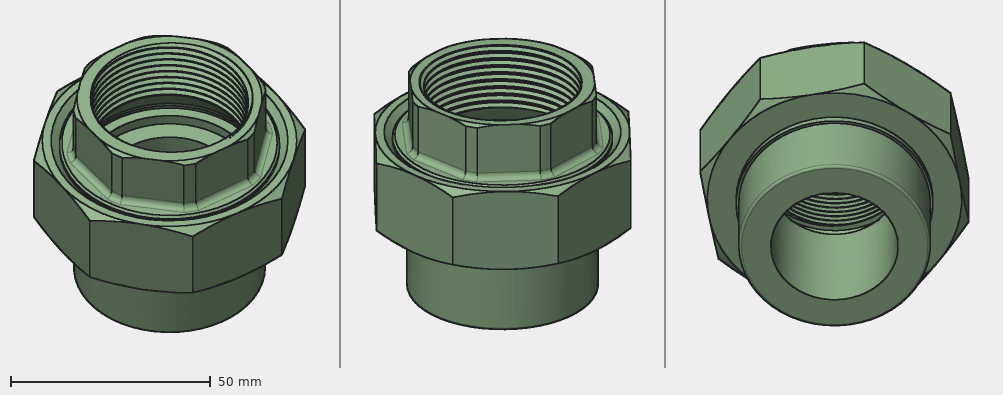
import cadquery as cq
import math


TOTAL_HEIGHT = 57.8
SIDES = 8
CHAMFER_SLOPE = math.tan(math.radians(30))

NUT_CORNER_DIAMETER = 69.0
NUT_BOTTOM = 21.45
NUT_TOP = 43.55
NUT_CAP_DIAMETER = NUT_CORNER_DIAMETER * math.cos(math.pi / SIDES)
NUT_MOUTH_DIAMETER = 59.35
NUT_LIP_TOP = 24.9

TAIL_DIAMETER = 48.0
TAIL_BORE = 31.9
TAIL_EDGE_RADIUS = 0.7
COLLAR_DIAMETER = 49.35
COLLAR_BOTTOM = 19.65
RIM_DIAMETER = 53.95
RIM_TOP = 33.7

GASKET_BOTTOM = 30.15
GASKET_TOP = 32.9
GASKET_HOLE = 41.8
GASKET_DIAMETER = 47.5

FLANGE_DIAMETER = 55.2
FLANGE_FACE_DIAMETER = 53.95
FLANGE_TOP = 42.8
NECK_FILLET = 1.65
NECK_FLAT_RADIUS = 23.05
NECK_CORNER_RADIUS = 24.35
NECK_CAP_RADIUS = 23.2
NECK_TURN = 2.5
SEAT_TOP = 34.5
FLARE_RADIUS = 21.25

THREAD_MAJOR_RADIUS = 20.9
THREAD_MINOR_RADIUS = 19.7
THREAD_PITCH = 2.0
THREAD_CREST = 0.35
THREAD_BOTTOM = 40.1
THREAD_FLANK_SLOPE = math.tan(math.radians(30))
THREAD_TURNS = 10.2
CUTTER_OVERLAP = 0.15


def disc(diameter, bottom, top):
    return cq.Workplane("XY").workplane(offset=bottom).circle(diameter / 2).extrude(top - bottom)


def octagon(corner_diameter, bottom, top):
    """Octagonal prism with corners on the X and Y axes."""
    return cq.Workplane("XY").workplane(offset=bottom).polygon(SIDES, corner_diameter).extrude(top - bottom)


def turned(points):
    """Solid of revolution about Z from (radius, height) points."""
    return cq.Workplane("XZ").polyline(points).close().revolve(360, (0, 0, 0), (0, 1, 0))


def make_nut():
    corner = NUT_CORNER_DIAMETER / 2
    cap = NUT_CAP_DIAMETER / 2
    drop = (corner - cap) * CHAMFER_SLOPE
    envelope = turned([
        (0, NUT_BOTTOM),
        (cap, NUT_BOTTOM),
        (corner, NUT_BOTTOM + drop),
        (corner, NUT_TOP - drop),
        (cap, NUT_TOP),
        (0, NUT_TOP),
    ])
    mouth = NUT_MOUTH_DIAMETER / 2
    bore = FLANGE_DIAMETER / 2
    lip = COLLAR_DIAMETER / 2
    cavity = turned([
        (0, NUT_BOTTOM),
        (lip, NUT_BOTTOM),
        (lip, NUT_LIP_TOP),
        (bore, NUT_LIP_TOP),
        (bore, NUT_TOP - (mouth - bore)),
        (mouth, NUT_TOP),
        (0, NUT_TOP),
    ])
    return octagon(NUT_CORNER_DIAMETER, NUT_BOTTOM, NUT_TOP).intersect(envelope).cut(cavity)


def make_tail():
    pipe = disc(TAIL_DIAMETER, 0, COLLAR_BOTTOM).faces("<Z").edges().fillet(TAIL_EDGE_RADIUS)
    collar = disc(COLLAR_DIAMETER, COLLAR_BOTTOM, NUT_LIP_TOP)
    rim = disc(RIM_DIAMETER, NUT_LIP_TOP, RIM_TOP)
    bore = disc(TAIL_BORE, 0, RIM_TOP)
    recess = disc(GASKET_DIAMETER, GASKET_BOTTOM, RIM_TOP)
    return pipe.union(collar).union(rim).cut(bore).cut(recess)


def make_gasket():
    return disc(GASKET_DIAMETER, GASKET_BOTTOM, GASKET_TOP).cut(disc(GASKET_HOLE, GASKET_BOTTOM, GASKET_TOP))


def make_neck_and_flange():
    neck = octagon(2 * NECK_FLAT_RADIUS / math.cos(math.pi / SIDES), RIM_TOP, TOTAL_HEIGHT)
    neck = neck.rotate((0, 0, 0), (0, 0, 1), NECK_TURN)
    drop = (NECK_CORNER_RADIUS - NECK_CAP_RADIUS) * CHAMFER_SLOPE
    neck = neck.intersect(turned([
        (0, RIM_TOP),
        (NECK_CORNER_RADIUS, RIM_TOP),
        (NECK_CORNER_RADIUS, TOTAL_HEIGHT - drop),
        (NECK_CAP_RADIUS, TOTAL_HEIGHT),
        (0, TOTAL_HEIGHT),
    ]))
    chamfer = (FLANGE_DIAMETER - FLANGE_FACE_DIAMETER) / 2
    flange = disc(FLANGE_DIAMETER, RIM_TOP, FLANGE_TOP).faces(">Z").edges().chamfer(chamfer)
    body = neck.union(flange)
    root_box = cq.selectors.BoxSelector(
        (-NECK_CORNER_RADIUS - 0.7, -NECK_CORNER_RADIUS - 0.7, FLANGE_TOP - 0.1),
        (NECK_CORNER_RADIUS + 0.7, NECK_CORNER_RADIUS + 0.7, FLANGE_TOP + 0.1),
        boundingbox=True,
    )
    return body.edges(root_box).fillet(NECK_FILLET)


def make_seat():
    """Gasket seat and the flare that widens to it from the lower end of the thread."""
    return turned([
        (0, RIM_TOP),
        (GASKET_DIAMETER / 2, RIM_TOP),
        (GASKET_DIAMETER / 2, SEAT_TOP),
        (FLARE_RADIUS, THREAD_BOTTOM),
        (0, THREAD_BOTTOM),
    ])


def make_thread_groove():
    """Helical cutter with a V-shaped section, running out past both ends of the thread."""
    inner = THREAD_MINOR_RADIUS - CUTTER_OVERLAP
    depth = THREAD_MAJOR_RADIUS - THREAD_MINOR_RADIUS
    half_mouth = (THREAD_PITCH - THREAD_CREST) / 2
    half_root = half_mouth - depth * THREAD_FLANK_SLOPE
    half_inner = half_mouth + CUTTER_OVERLAP * THREAD_FLANK_SLOPE
    length = (THREAD_TURNS + 1) * THREAD_PITCH
    section = [
        (inner, -half_inner),
        (THREAD_MAJOR_RADIUS, -half_root),
        (THREAD_MAJOR_RADIUS, half_root),
        (inner, half_inner),
    ]
    helices = [
        cq.Wire.makeHelix(THREAD_PITCH, length, radius).translate(cq.Vector(0, 0, height))
        for radius, height in section
    ]
    faces = []
    for index, helix in enumerate(helices):
        faces.append(cq.Face.makeRuledSurface(helices[index - 1], helix))
    for end in (0, 1):
        corners = [helix.Edges()[0].positionAt(end) for helix in helices]
        faces.append(cq.Face.makeFromWires(cq.Wire.makePolygon(corners, close=True)))
    groove = cq.Workplane(cq.Solid.makeSolid(cq.Shell.makeShell(faces)))
    return groove.translate((0, 0, TOTAL_HEIGHT - THREAD_TURNS * THREAD_PITCH))


def make_threaded_end():
    """The groove is cut into a straight bore first, then the seat removes its lowest turns."""
    bore = disc(2 * THREAD_MINOR_RADIUS, RIM_TOP, TOTAL_HEIGHT)
    return make_neck_and_flange().cut(bore).cut(make_thread_groove()).cut(make_seat())


nut = make_nut()
tail = make_tail()
gasket = make_gasket()
threaded_end = make_threaded_end()

result = cq.Compound.makeCompound([nut.val(), tail.val(), gasket.val(), threaded_end.val()])